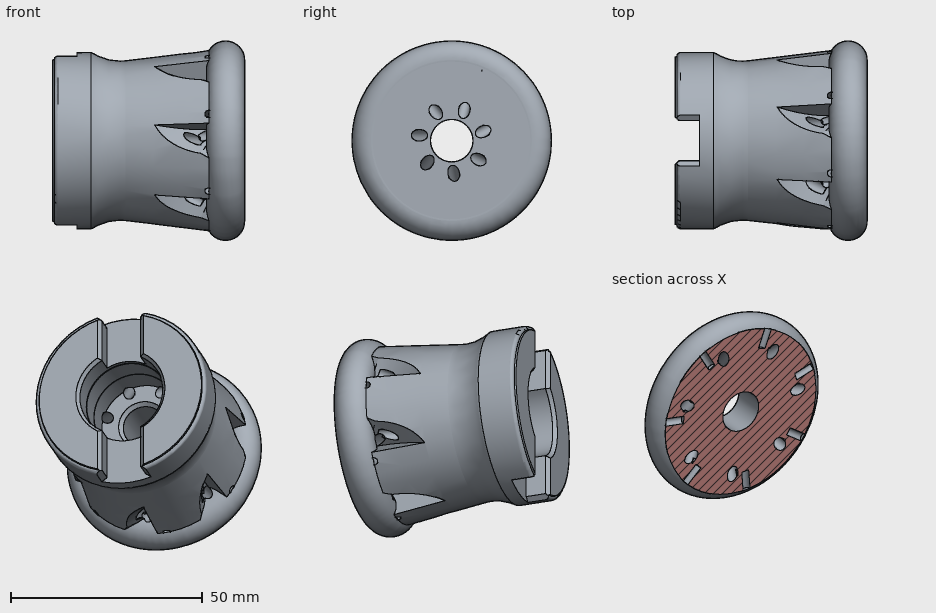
import cadquery as cq
import math


body_length = 50.0
collar_diameter = 46.0
collar_length = 10.0
collar_fillet = 1.0
collar_lip_length = 0.4
collar_lip_rise = 0.15
collar_edge_step = 0.5
neck_end_x = 19.05
neck_end_radius = 20.85
neck_arc_radius = 13.0
taper_angle = 7.0

rim_diameter = 52.0
rim_tube_radius = 5.0
rim_x = 45.02
rim_circle_radius = rim_diameter / 2 - rim_tube_radius

bore_entry_diameter = 22.3
bore_middle_diameter = 22.15
bore_seat_diameter = 22.0
bore_entry_end = 7.5
bore_entry_cone = 0.2
bore_middle_end = 15.0
bore_depth = 23.0
bore_mouth_diameter = 24.0
bore_mouth_depth = 1.0
through_diameter = 11.0
through_chamfer = 1.0

slot_width = 10.4
slot_depth = 6.3
slot_chamfer = 1.0
slot_flare = 1.45
slot_flare_height = 1.0

port_count = 7
port_pitch = 360.0 / port_count

scoop_axis_x = 39.3
scoop_axis_z = 15.2
scoop_apex_height = 4.5
scoop_top_height = 30.0
scoop_wall_lean = 15.5
scoop_wall_height = 22.76
scoop_wall_z = 4.5

relief_start_x = 36.0
relief_x = 40.0
relief_height = 22.1
relief_z = -2.8
relief_lean = 36.0
relief_dip = 17.0

feed_diameter = 3.0
feed_start_height = 10.0
feed_start_z = 1.45
feed_exit_x = 36.3
feed_exit_height = 19.2
feed_exit_z = 0.5
feed_overrun = 2.8
jet_diameter = 3.0
jet_x = 40.4
jet_height = 18.0
jet_z = 1.4
jet_angle = 45.0
jet_overrun = 2.0
pin_diameter = 2.0
pin_x = 40.65
pin_position = 17.3
pin_bottom_height = 18.0
pin_top_height = 23.5

tool_size = 60.0


def around_x(shape, degrees):
    return shape.rotate((0, 0, 0), (1, 0, 0), degrees)


def revolve_profile(profile):
    return profile.close().revolve(360, (0, 0, 0), (1, 0, 0))


def drill(start, end, diameter):
    axis = end - start
    return cq.Workplane(cq.Solid.makeCylinder(diameter / 2, axis.Length, start, axis))


def cut_at_every_port(body, tool):
    for index in range(port_count):
        body = body.cut(around_x(tool, index * port_pitch))
    return body


def make_body():
    collar_radius = collar_diameter / 2
    taper = math.radians(taper_angle)
    arc_x = neck_end_x - neck_arc_radius * math.sin(taper)
    arc_height = neck_end_radius + neck_arc_radius * math.cos(taper)

    def neck_point(x):
        return x, arc_height - math.sqrt(neck_arc_radius**2 - (x - arc_x) ** 2)

    neck_start_x = collar_length + collar_edge_step
    neck_middle_x = (neck_start_x + neck_end_x) / 2
    taper_end_radius = neck_end_radius + (rim_x - neck_end_x) * math.tan(taper)
    lip_radius = collar_radius - collar_fillet
    fillet_inset = collar_fillet * (1 - math.sqrt(0.5))
    fillet_middle = (collar_lip_length + fillet_inset, collar_radius - fillet_inset)
    return revolve_profile(
        cq.Workplane("XY")
        .lineTo(0, lip_radius - collar_lip_rise)
        .lineTo(collar_lip_length, lip_radius)
        .threePointArc(fillet_middle, (collar_lip_length + collar_fillet, collar_radius))
        .lineTo(collar_length, collar_radius)
        .lineTo(*neck_point(neck_start_x))
        .threePointArc(neck_point(neck_middle_x), (neck_end_x, neck_end_radius))
        .lineTo(rim_x, taper_end_radius)
        .lineTo(rim_x, rim_circle_radius)
        .lineTo(body_length, rim_circle_radius)
        .lineTo(body_length, 0)
    )


def make_rim():
    return (
        cq.Workplane("XY", origin=(rim_x, 0, 0))
        .moveTo(0, rim_circle_radius)
        .circle(rim_tube_radius)
        .revolve(360, (0, 0, 0), (1, 0, 0))
    )


def make_scoop():
    cone_height = scoop_top_height - scoop_apex_height
    apex = cq.Vector(scoop_axis_x, -scoop_apex_height, scoop_axis_z)
    cone = cq.Workplane(cq.Solid.makeCone(0, cone_height, cone_height, apex, cq.Vector(0, -1, 0)))
    relief = (
        cq.Workplane("XY")
        .box(tool_size, tool_size, tool_size)
        .translate((0, -tool_size / 2, 0))
        .rotate((0, 0, 0), (0, 0, 1), relief_dip)
        .rotate((0, 0, 0), (1, 0, 0), -relief_lean)
        .translate((relief_x, -relief_height, relief_z))
    )
    relief_range = (
        cq.Workplane("XY")
        .box(rim_x - relief_start_x, tool_size, tool_size, centered=(False, True, True))
        .translate((relief_start_x, 0, 0))
    )
    wall_side = (
        cq.Workplane("XY")
        .box(rim_x, 2 * tool_size, tool_size, centered=(False, True, False))
        .translate((0, 0, -tool_size))
        .rotate((0, 0, 0), (1, 0, 0), -scoop_wall_lean)
        .translate((0, -scoop_wall_height, scoop_wall_z))
    )
    return cone.union(relief.intersect(relief_range)).intersect(wall_side)


def make_slot():
    half_width = slot_width / 2
    mouth_half_width = half_width + slot_chamfer
    outline = [
        (0, -mouth_half_width),
        (slot_chamfer, -half_width),
        (slot_depth, -half_width),
        (slot_depth, half_width),
        (slot_chamfer, half_width),
        (0, mouth_half_width),
    ]
    slot = cq.Workplane("XY").polyline(outline).close().extrude(tool_size / 2, both=True)

    outer_half_width = half_width + slot_flare
    collar_radius = collar_diameter / 2
    flare_top = math.sqrt(collar_radius**2 - outer_half_width**2)
    flare_bottom = flare_top - slot_flare_height
    flare = (
        cq.Workplane("YZ")
        .moveTo(-half_width, flare_bottom)
        .lineTo(half_width, flare_bottom)
        .lineTo(outer_half_width, flare_top)
        .lineTo(outer_half_width, collar_radius)
        .lineTo(-outer_half_width, collar_radius)
        .lineTo(-outer_half_width, flare_top)
        .close()
        .extrude(slot_depth)
    )
    return slot.union(flare).union(around_x(flare, 180))


def make_bore():
    entry_radius = bore_entry_diameter / 2
    middle_radius = bore_middle_diameter / 2
    seat_radius = bore_seat_diameter / 2
    through_radius = through_diameter / 2
    return revolve_profile(
        cq.Workplane("XY")
        .lineTo(0, bore_mouth_diameter / 2)
        .lineTo(bore_mouth_depth, entry_radius)
        .lineTo(bore_entry_end, entry_radius)
        .lineTo(bore_entry_end + bore_entry_cone, middle_radius)
        .lineTo(bore_middle_end, middle_radius)
        .lineTo(bore_middle_end, seat_radius)
        .lineTo(bore_depth, seat_radius)
        .lineTo(bore_depth, through_radius + through_chamfer)
        .lineTo(bore_depth + through_chamfer, through_radius)
        .lineTo(body_length, through_radius)
        .lineTo(body_length, 0)
    )


def make_feed_hole():
    start = cq.Vector(bore_depth, -feed_start_height, feed_start_z)
    exit_point = cq.Vector(feed_exit_x, -feed_exit_height, feed_exit_z)
    overrun = (exit_point - start).normalized() * feed_overrun
    return drill(start - overrun, exit_point + overrun, feed_diameter)


def make_jet_hole():
    slope = math.radians(jet_angle)
    inward = cq.Vector(math.cos(slope), math.sin(slope), 0)
    mouth = cq.Vector(jet_x, -jet_height, jet_z)
    run = (body_length - jet_x) / math.cos(slope) + jet_overrun
    return drill(mouth - inward * jet_overrun, mouth + inward * run, jet_diameter)


def make_pin_hole():
    bottom = cq.Vector(pin_x, -pin_bottom_height, 0)
    top = cq.Vector(pin_x, -pin_top_height, 0)
    return around_x(drill(bottom, top, pin_diameter), -pin_position)


result = make_body()
result = cut_at_every_port(result, make_scoop())
result = result.union(make_rim())
result = result.cut(make_slot())
result = result.cut(make_bore())
for hole in (make_feed_hole(), make_jet_hole(), make_pin_hole()):
    result = cut_at_every_port(result, hole)